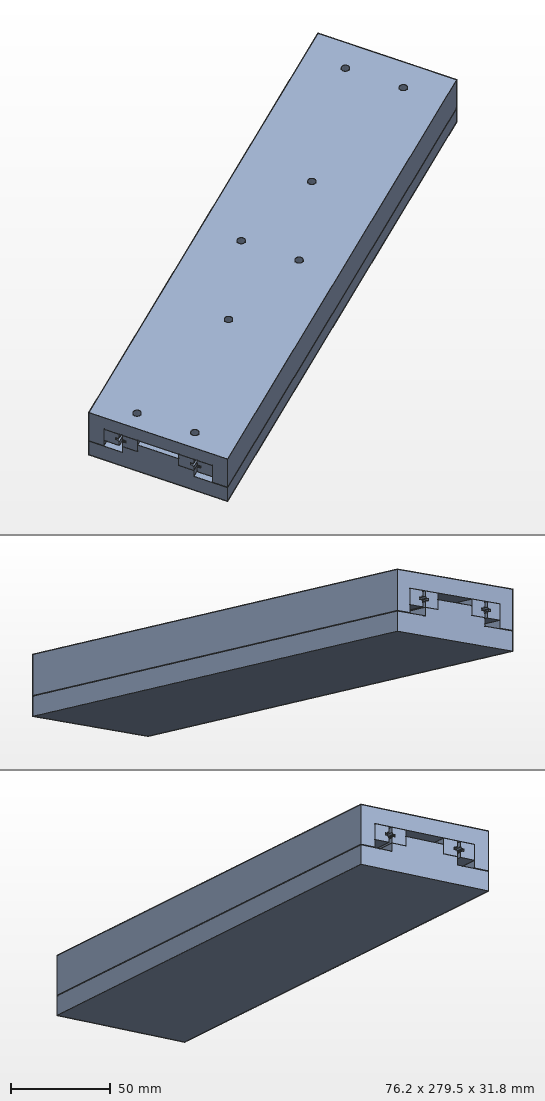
import cadquery as cq

LENGTH = 279.5
GRID = LENGTH / 88
WIDTH = 24 * GRID
HEIGHT = 10 * GRID

CARRIAGE_WALL = 8.5
CARRIAGE_ROOF = 8.7
BASE_PLATE_HEIGHT = 10.3
RUNNING_GAP = 0.3

RAIL_WIDTH = 8.5
RAIL_HEIGHT = 8.5
RAIL_GAP = 1.7

GROOVE_HEIGHT = 2.8
GROOVE_SLOT_HEIGHT = 1.0
GROOVE_FLANK_DEPTH = (GROOVE_HEIGHT - GROOVE_SLOT_HEIGHT) / 2
GROOVE_DEPTH = 2.0

PEDESTAL_CLEARANCE = 3.4

HOLE_DIAMETER = 4.2
HOLE_PATTERN_SHIFT = -GRID
HOLE_COLUMN_SPACING = 10 * GRID
HOLE_ROW_SPACING = 40 * GRID
CENTER_HOLE_SPACING = 32 * GRID

CARRIAGE_BOTTOM_Z = BASE_PLATE_HEIGHT + RUNNING_GAP
CEILING_Z = HEIGHT - CARRIAGE_ROOF
RAIL_BOTTOM_Z = CEILING_Z - RAIL_HEIGHT
GROOVE_Z = CEILING_Z - RAIL_HEIGHT / 2
CHANNEL_HALF_WIDTH = WIDTH / 2 - CARRIAGE_WALL
OUTER_RAIL_FACE_X = CHANNEL_HALF_WIDTH - RAIL_WIDTH
INNER_RAIL_FACE_X = OUTER_RAIL_FACE_X - RAIL_GAP
INNER_RAIL_BACK_X = INNER_RAIL_FACE_X - RAIL_WIDTH


def extrude_profile(points):
    """Extrude a closed (x, z) outline along the whole length, centred on Y = 0."""
    return cq.Workplane("XZ").polyline(points).close().extrude(LENGTH / 2, both=True)


def mirrored_profile(right_half):
    """Complete an (x, z) outline with its mirror image across X = 0."""
    left_half = [(-x, z) for x, z in reversed(right_half)]
    return right_half + left_half


def make_base():
    """Flat plate with a stepped pedestal that seats the two inner rails."""
    return extrude_profile(mirrored_profile([
        (WIDTH / 2, 0),
        (WIDTH / 2, BASE_PLATE_HEIGHT),
        (INNER_RAIL_FACE_X, BASE_PLATE_HEIGHT),
        (INNER_RAIL_FACE_X, RAIL_BOTTOM_Z),
        (INNER_RAIL_BACK_X, RAIL_BOTTOM_Z),
        (INNER_RAIL_BACK_X, CEILING_Z - PEDESTAL_CLEARANCE),
    ]))


def carriage_hole_centers():
    """Three rows of two holes, and two single holes on the centre line."""
    centers = []
    for row in (-1, 0, 1):
        y = row * HOLE_ROW_SPACING + HOLE_PATTERN_SHIFT
        for column in (-1, 1):
            centers.append((column * HOLE_COLUMN_SPACING / 2, y))
    for side in (-1, 1):
        centers.append((0, side * CENTER_HOLE_SPACING / 2 + HOLE_PATTERN_SHIFT))
    return centers


def make_carriage():
    """Channel open downward, with mounting holes through its roof."""
    channel = extrude_profile(mirrored_profile([
        (CHANNEL_HALF_WIDTH, CEILING_Z),
        (CHANNEL_HALF_WIDTH, CARRIAGE_BOTTOM_Z),
        (WIDTH / 2, CARRIAGE_BOTTOM_Z),
        (WIDTH / 2, HEIGHT),
    ]))
    holes = (
        cq.Workplane("XY", origin=(0, 0, CEILING_Z))
        .pushPoints(carriage_hole_centers())
        .circle(HOLE_DIAMETER / 2)
        .extrude(CARRIAGE_ROOF)
    )
    return channel.cut(holes)


def make_rail(face_x, back_direction):
    """Rail with a grooved face; back_direction (+1 or -1) points from face to back in X."""
    back_x = face_x + back_direction * RAIL_WIDTH
    flank_end_x = face_x + back_direction * GROOVE_FLANK_DEPTH
    groove_bottom_x = face_x + back_direction * GROOVE_DEPTH
    return extrude_profile([
        (face_x, RAIL_BOTTOM_Z),
        (back_x, RAIL_BOTTOM_Z),
        (back_x, CEILING_Z),
        (face_x, CEILING_Z),
        (face_x, GROOVE_Z + GROOVE_HEIGHT / 2),
        (flank_end_x, GROOVE_Z + GROOVE_SLOT_HEIGHT / 2),
        (groove_bottom_x, GROOVE_Z + GROOVE_SLOT_HEIGHT / 2),
        (groove_bottom_x, GROOVE_Z - GROOVE_SLOT_HEIGHT / 2),
        (flank_end_x, GROOVE_Z - GROOVE_SLOT_HEIGHT / 2),
        (face_x, GROOVE_Z - GROOVE_HEIGHT / 2),
    ])


base = make_base()
carriage = make_carriage()

outer_rails = []
inner_rails = []
for side in (-1, 1):
    outer_rails.append(make_rail(side * OUTER_RAIL_FACE_X, side))
    inner_rails.append(make_rail(side * INNER_RAIL_FACE_X, -side))

rails = [rail.val() for rail in outer_rails + inner_rails]
result = cq.Compound.makeCompound([base.val(), carriage.val(), *rails])